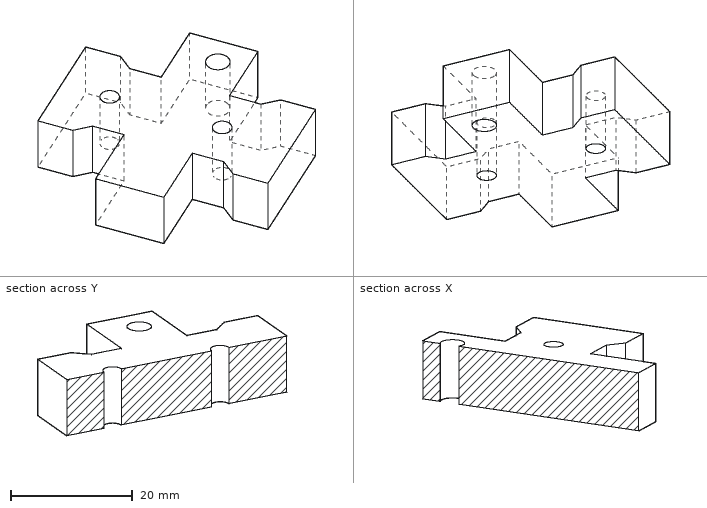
import cadquery as cq

length = 40.9
width = 40.0
thickness = 10.0

stem_width = 12.15
wing_width = 20.3
waist_width = 15.8
wing_end_length = 6.2
wing_taper_length = 2.58

stem_hole_diameter = 4.0
stem_hole_x = 1.02
stem_hole_edge_distance = 5.0
wing_hole_diameter = 3.2
wing_hole_spacing = 20.0
wing_hole_midpoint_x = -1.92


def cross_body():
    """Cross-shaped plate whose wings widen towards their ends."""
    taper_outer_x = length / 2 - wing_end_length
    taper_inner_x = taper_outer_x - wing_taper_length
    quarter = [
        (length / 2, wing_width / 2),
        (taper_outer_x, wing_width / 2),
        (taper_inner_x, waist_width / 2),
        (stem_width / 2, waist_width / 2),
        (stem_width / 2, width / 2),
    ]
    right_half = [(x, -y) for x, y in reversed(quarter)] + quarter
    left_half = [(-x, -y) for x, y in right_half]
    return cq.Workplane("XY").polyline(right_half + left_half).close().extrude(thickness)


def through_holes(centers, diameter):
    """Cylinders that cut through the full thickness."""
    return cq.Workplane("XY").pushPoints(centers).circle(diameter / 2).extrude(thickness)


stem_hole_centers = [(stem_hole_x, width / 2 - stem_hole_edge_distance)]
wing_hole_centers = [
    (wing_hole_midpoint_x + side * wing_hole_spacing / 2, 0) for side in (-1, 1)
]

result = (
    cross_body()
    .cut(through_holes(stem_hole_centers, stem_hole_diameter))
    .cut(through_holes(wing_hole_centers, wing_hole_diameter))
)